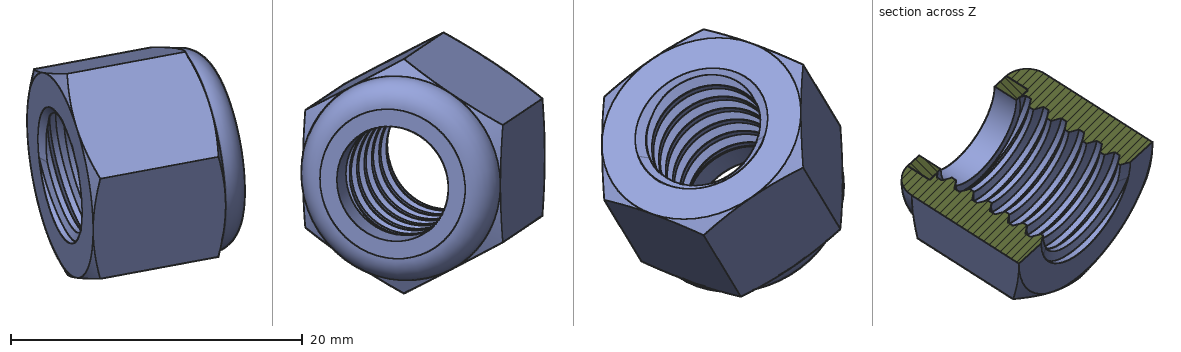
import cadquery as cq
import math

CORNER_WIDTH = 16.5
FLAT_WIDTH = CORNER_WIDTH * math.cos(math.radians(30))
LENGTH = 11.52
HEX_LENGTH = 9.57
CORNER_CHAMFER_ANGLE = 25.0

COLLAR_ROUND = 1.9

THREAD_MAJOR = 9.52
THREAD_MINOR = 8.23
PITCH = 1.58
CREST_WIDTH = PITCH / 4
FLANK_ANGLE = 30.0
ENTRY_CHAMFER_ANGLE = 30.0
THREAD_TILT = 7.4
FIRST_GROOVE = -0.4

INSERT_BORE = 8.05
INSERT_OUTER = FLAT_WIDTH - 2 * COLLAR_ROUND
INSERT_LENGTH = LENGTH - HEX_LENGTH


def cylinder(diameter, start, end):
    """Cylinder on the Y axis between two positions."""
    return cq.Workplane("XZ", origin=(0, start, 0)).circle(diameter / 2).extrude(start - end)


def revolve_about_y(profile):
    return profile.close().revolve(360, (0, 0, 0), (0, 1, 0))


def make_hexagon():
    """Hexagonal prism with conical chamfers on the corners at both ends."""
    corner_radius = CORNER_WIDTH / 2
    flat_radius = FLAT_WIDTH / 2
    drop = (corner_radius - flat_radius) * math.tan(math.radians(CORNER_CHAMFER_ANGLE))
    prism = cq.Workplane("XZ").polygon(6, CORNER_WIDTH).extrude(-HEX_LENGTH)
    prism = prism.rotate((0, 0, 0), (0, 1, 0), 30)
    envelope = revolve_about_y(
        cq.Workplane("XY")
        .lineTo(flat_radius, 0)
        .lineTo(corner_radius, drop)
        .lineTo(corner_radius, HEX_LENGTH - drop)
        .lineTo(flat_radius, HEX_LENGTH)
        .lineTo(0, HEX_LENGTH)
    )
    return prism.intersect(envelope)


def make_collar():
    """Round collar with a rolled-over rear edge."""
    return cylinder(FLAT_WIDTH, HEX_LENGTH, LENGTH).faces(">Y").edges().fillet(COLLAR_ROUND)


def make_entry_chamfer():
    """Cone that opens the bore out to the major diameter at the entry face."""
    outer = THREAD_MAJOR / 2
    inner = THREAD_MINOR / 2
    depth = (outer - inner) * math.tan(math.radians(ENTRY_CHAMFER_ANGLE))
    return revolve_about_y(
        cq.Workplane("XY").lineTo(outer, 0).lineTo(inner, depth).lineTo(0, depth)
    )


def make_thread_groove(position):
    """Closed ring groove, tilted about X so that its bottom lies deeper in the nut than its top."""
    outer = THREAD_MAJOR / 2
    inner = THREAD_MINOR / 2
    mouth = (PITCH - CREST_WIDTH) / 2
    root = mouth - (outer - inner) * math.tan(math.radians(FLANK_ANGLE))
    groove = revolve_about_y(
        cq.Workplane("XY")
        .moveTo(0, -mouth)
        .lineTo(inner, -mouth)
        .lineTo(outer, -root)
        .lineTo(outer, root)
        .lineTo(inner, mouth)
        .lineTo(0, mouth)
    )
    return groove.rotate((0, 0, 0), (1, 0, 0), THREAD_TILT).translate((0, position, 0))


def make_nut():
    nut = make_hexagon().union(make_collar())
    nut = nut.cut(cylinder(THREAD_MINOR, 0, LENGTH))
    nut = nut.cut(make_entry_chamfer())
    groove_count = math.ceil((HEX_LENGTH - FIRST_GROOVE) / PITCH)
    for index in range(groove_count):
        nut = nut.cut(make_thread_groove(FIRST_GROOVE + index * PITCH))
    return nut.cut(cylinder(INSERT_OUTER, LENGTH - INSERT_LENGTH, LENGTH))


def make_insert():
    ring = cylinder(INSERT_OUTER, LENGTH - INSERT_LENGTH, LENGTH)
    return ring.cut(cylinder(INSERT_BORE, LENGTH - INSERT_LENGTH, LENGTH))


nut = make_nut()
insert = make_insert()
result = cq.Compound.makeCompound([nut.val(), insert.val()])